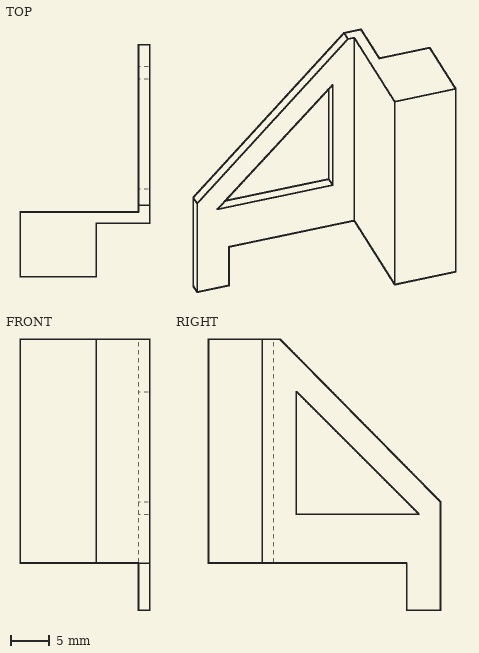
import cadquery as cq

width = 17.0
depth = 30.5
height = 35.58

wall = 1.5

block_width = 10.0
block_depth = 8.55

foot_drop = 6.2
foot_depth = 4.5

slope_front = 9.43
slope_bottom = 14.23

window_front = 11.55
window_bottom = 12.63
window_leg = 16.08

body_height = height - foot_drop


def make_block():
    return (
        cq.Workplane("XY", origin=(0, 0, foot_drop))
        .rect(block_width, block_depth, centered=False)
        .extrude(body_height)
    )


def make_flange():
    """Thin wall flush with the rear of the block, reaching the plate."""
    return (
        cq.Workplane("XY", origin=(0, block_depth - wall, foot_drop))
        .rect(width, wall, centered=False)
        .extrude(body_height)
    )


def make_plate():
    """Bracket plate on the right side, with a foot and a triangular window."""
    side = cq.Workplane("YZ", origin=(width - wall, 0, 0))
    plate = (
        side.moveTo(block_depth - wall, foot_drop)
        .lineTo(depth - foot_depth, foot_drop)
        .lineTo(depth - foot_depth, 0)
        .lineTo(depth, 0)
        .lineTo(depth, slope_bottom)
        .lineTo(slope_front, height)
        .lineTo(block_depth - wall, height)
        .close()
        .extrude(wall)
    )
    window = (
        side.moveTo(window_front, window_bottom)
        .lineTo(window_front + window_leg, window_bottom)
        .lineTo(window_front, window_bottom + window_leg)
        .close()
        .extrude(wall)
    )
    return plate.cut(window)


result = make_block().union(make_flange()).union(make_plate()).clean()